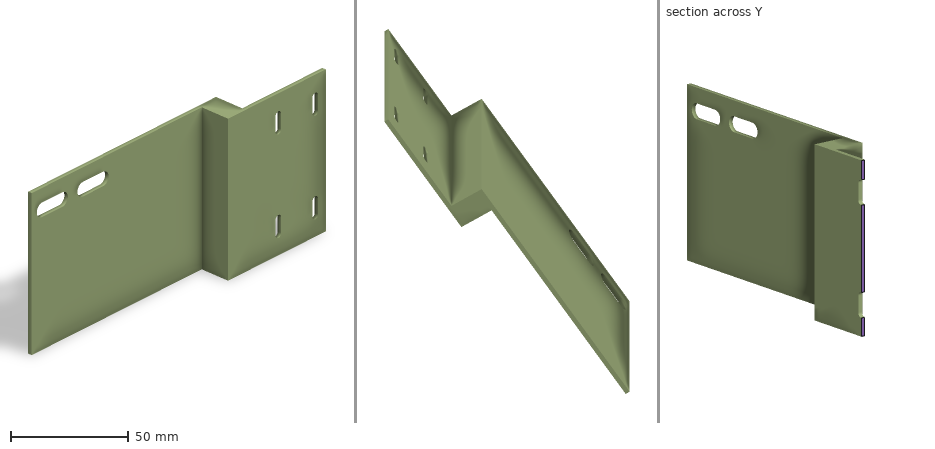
import cadquery as cq

length = 167.5
height = 78.0
depth = 17.3
sheet = 2.0

rear_plate_length = 50.0
block_length = 11.0
front_plate_length = length - rear_plate_length - block_length

upright_slot_length = 11.0
upright_slot_width = 3.5
upright_slot_setbacks = (6.5, 29.6)
upright_slot_heights = (13.9, 63.8)

long_slot_length = 19.5
long_slot_width = 7.0
long_slot_setbacks = (12.9, 38.4)
long_slot_drop = 10.5


def box(x, y, size_x, size_y):
    """Full-height block with its low corner at (x, y)."""
    return cq.Workplane("XY").box(size_x, size_y, height, centered=False).translate((x, y, 0))


def slot_cutter(centers, slot_length, slot_width, angle):
    """Round-ended cutters through the full depth; angle 0 runs along Y, 90 along Z."""
    return (
        cq.Workplane("YZ")
        .pushPoints(centers)
        .slot2D(slot_length, slot_width, angle)
        .extrude(depth)
    )


front_plate = box(0, 0, sheet, front_plate_length)
block = box(0, front_plate_length, depth, block_length)
rear_plate = box(depth - sheet, front_plate_length + block_length, sheet, rear_plate_length)
bracket = front_plate.union(block).union(rear_plate)

upright_centers = [(length - setback, z) for setback in upright_slot_setbacks for z in upright_slot_heights]
long_centers = [(setback, height - long_slot_drop) for setback in long_slot_setbacks]

result = (
    bracket
    .cut(slot_cutter(upright_centers, upright_slot_length, upright_slot_width, 90))
    .cut(slot_cutter(long_centers, long_slot_length, long_slot_width, 0))
)